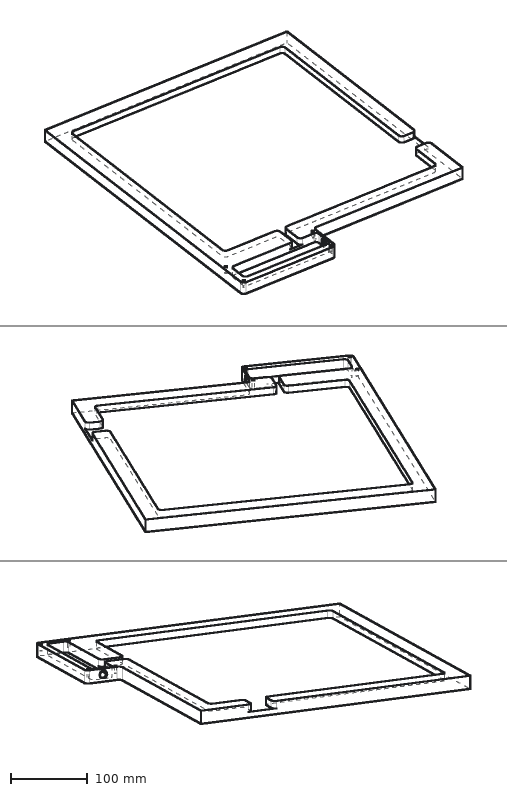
import cadquery as cq

plate_side = 390.0
thickness = 18.0
tab_width = 50.0
tab_length = 150.0
corner_radius = 5.0
overall_width = plate_side + tab_width

rim_width = 24.0
main_depth = 10.0
pocket_radius = 5.0
rim_inner_edge = plate_side - rim_width
outlet_width = 30.0
outlet_center_x = 301.0
passage_width = 10.0
passage_center_y = 115.0

tab_pocket_depth = 14.4
tab_wall = 10.0
tab_end_wall = 2.0
tab_pocket_left = plate_side + tab_wall
tab_pocket_right = overall_width - tab_wall
tab_pocket_bottom = tab_wall
tab_pocket_top = tab_length - tab_end_wall
tab_pocket_radius = 5.0

cable_hole_diameter = 10.0
cable_hole_x = (tab_pocket_left + tab_pocket_right) / 2
cable_hole_z = 10.0

screw_hole_diameter = 3.0
screw_hole_depth = 10.0
screw_inset = 5.0
screw_x_places = (plate_side + screw_inset, overall_width - screw_inset)
screw_y_places = (screw_inset, tab_length - screw_inset)


def box(x_min, x_max, y_min, y_max, z_min):
    """Rectangular block from z_min up to the top face."""
    size = (x_max - x_min, y_max - y_min, thickness - z_min)
    return cq.Workplane("XY").box(*size, centered=False).translate((x_min, y_min, z_min))


def round_upright_edges(body, points, radius):
    """Fillet the vertical edges that pass nearest to the given (x, y) points."""
    middle_z = thickness - main_depth / 2
    edges = body.edges(cq.selectors.NearestToPointSelector((*points[0], middle_z)))
    for point in points[1:]:
        edges = edges.add(body.edges(cq.selectors.NearestToPointSelector((*point, middle_z))))
    return edges.fillet(radius)


def make_plate():
    plate = box(0, plate_side, 0, plate_side, 0)
    plate = plate.union(box(0, overall_width, 0, tab_length, 0))
    corners = [(plate_side, tab_length), (overall_width, tab_length), (overall_width, 0)]
    return round_upright_edges(plate, corners, corner_radius)


def cut_main_pocket(plate):
    floor_z = thickness - main_depth
    pocket = box(rim_width, rim_inner_edge, rim_width, rim_inner_edge, floor_z)
    return plate.cut(pocket.edges("|Z").fillet(pocket_radius))


def cut_tab_pocket(plate):
    floor_z = thickness - tab_pocket_depth
    pocket = box(tab_pocket_left, tab_pocket_right, tab_pocket_bottom, tab_pocket_top, floor_z)
    return plate.cut(pocket.edges("|Z").fillet(tab_pocket_radius))


def cut_outlet(plate):
    left = outlet_center_x - outlet_width / 2
    right = outlet_center_x + outlet_width / 2
    plate = plate.cut(box(left, right, rim_inner_edge, plate_side, thickness - main_depth))
    corners = [(x, y) for x in (left, right) for y in (rim_inner_edge, plate_side)]
    return round_upright_edges(plate, corners, pocket_radius)


def cut_passage(plate):
    bottom = passage_center_y - passage_width / 2
    top = passage_center_y + passage_width / 2
    plate = plate.cut(box(rim_inner_edge, tab_pocket_left, bottom, top, thickness - main_depth))
    corners = [(x, y) for x in (rim_inner_edge, tab_pocket_left) for y in (bottom, top)]
    return round_upright_edges(plate, corners, pocket_radius)


def cut_cable_hole(plate):
    hole = cq.Workplane("XZ", origin=(cable_hole_x, tab_length, cable_hole_z))
    return plate.cut(hole.circle(cable_hole_diameter / 2).extrude(tab_end_wall))


def cut_screw_holes(plate):
    centers = [(x, y) for x in screw_x_places for y in screw_y_places]
    holes = cq.Workplane("XY", origin=(0, 0, thickness)).pushPoints(centers)
    return plate.cut(holes.circle(screw_hole_diameter / 2).extrude(-screw_hole_depth))


result = make_plate()
result = cut_main_pocket(result)
result = cut_tab_pocket(result)
result = cut_outlet(result)
result = cut_passage(result)
result = cut_cable_hole(result)
result = cut_screw_holes(result)